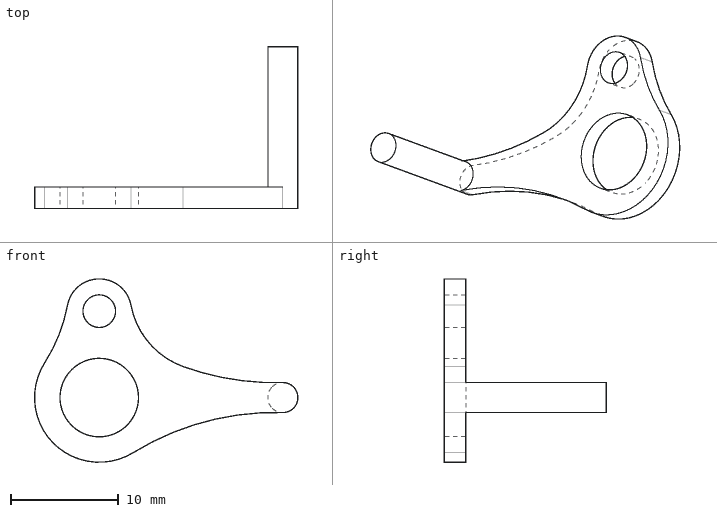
import cadquery as cq
import math

plate_thickness = 2.0

hub_center = (0.0, 0.0)
hub_radius = 6.0
hub_hole_diameter = 7.25

eye_radius = 3.0
eye_hole_diameter = 3.0
eye_center = (0.0, 8.0)

pin_radius = 1.4
pin_center = (17.0, 0.0)
overall_depth = 15.0

arm_arc_radius = 25.0
armpit_arc_radius = 7.5
back_arc_radius = 15.0


def meeting_point(start, start_distance, end, end_distance):
    """Point at the given distances from two points, on the left going from start to end."""
    dx = end[0] - start[0]
    dz = end[1] - start[1]
    span = math.hypot(dx, dz)
    along = (start_distance**2 - end_distance**2 + span**2) / (2 * span)
    aside = math.sqrt(start_distance**2 - along**2)
    return (
        start[0] + (along * dx - aside * dz) / span,
        start[1] + (along * dz + aside * dx) / span,
    )


def point_towards(center, target, distance):
    """Point at the given distance from center, in the direction of target."""
    span = math.dist(center, target)
    return (
        center[0] + distance * (target[0] - center[0]) / span,
        center[1] + distance * (target[1] - center[1]) / span,
    )


def arc_middle(center, radius, start, end):
    """Midpoint of the shorter arc from start to end."""
    chord_middle = ((start[0] + end[0]) / 2, (start[1] + end[1]) / 2)
    return point_towards(center, chord_middle, radius)


def mirrored(point):
    """Point mirrored across the centreline of the arm."""
    return (point[0], -point[1])


def make_plate():
    upper_arm_center = meeting_point(
        hub_center, hub_radius + arm_arc_radius, pin_center, pin_radius + arm_arc_radius
    )
    lower_arm_center = mirrored(upper_arm_center)
    back_center = meeting_point(
        hub_center, hub_radius + back_arc_radius, eye_center, eye_radius + back_arc_radius
    )
    armpit_center = meeting_point(
        upper_arm_center, arm_arc_radius - armpit_arc_radius, eye_center, eye_radius + armpit_arc_radius
    )

    hub_to_back = point_towards(hub_center, back_center, hub_radius)
    back_to_eye = point_towards(eye_center, back_center, eye_radius)
    eye_to_armpit = point_towards(eye_center, armpit_center, eye_radius)
    armpit_to_arm = point_towards(upper_arm_center, armpit_center, arm_arc_radius)
    arm_to_tip = point_towards(pin_center, upper_arm_center, pin_radius)
    tip_to_arm = mirrored(arm_to_tip)
    arm_to_hub = point_towards(hub_center, lower_arm_center, hub_radius)

    arcs = [
        (back_center, back_arc_radius, back_to_eye),
        (eye_center, eye_radius, eye_to_armpit),
        (armpit_center, armpit_arc_radius, armpit_to_arm),
        (upper_arm_center, arm_arc_radius, arm_to_tip),
        (pin_center, pin_radius, tip_to_arm),
        (lower_arm_center, arm_arc_radius, arm_to_hub),
        (hub_center, hub_radius, hub_to_back),
    ]
    outline = cq.Workplane("XZ").moveTo(*hub_to_back)
    start = hub_to_back
    for center, radius, end in arcs:
        outline = outline.threePointArc(arc_middle(center, radius, start, end), end)
        start = end
    return outline.close().extrude(-plate_thickness)


def make_cylinder(center, diameter, length):
    """Cylinder along +Y, starting at the plate's front face."""
    return cq.Workplane("XZ").center(*center).circle(diameter / 2).extrude(-length)


pin = make_cylinder(pin_center, 2 * pin_radius, overall_depth)
hub_hole = make_cylinder(hub_center, hub_hole_diameter, plate_thickness)
eye_hole = make_cylinder(eye_center, eye_hole_diameter, plate_thickness)

result = make_plate().union(pin).cut(hub_hole).cut(eye_hole)